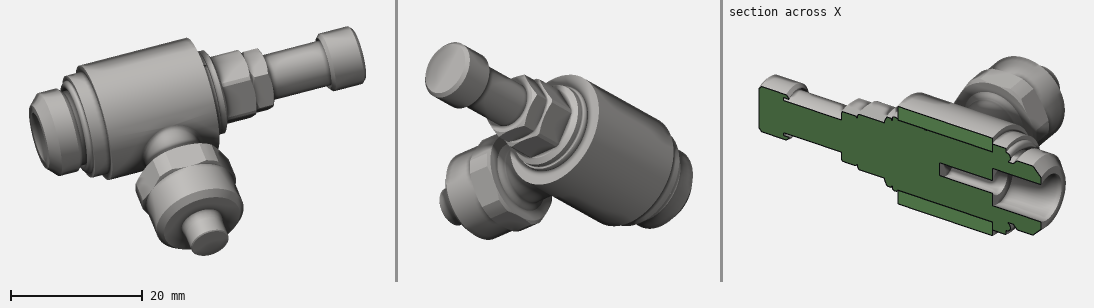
import cadquery as cq
import math


OVERALL_LENGTH = 51
OVERALL_WIDTH = 36.5
RING_DIAMETER = 18.0

RING_RADIUS = RING_DIAMETER / 2
RING_TOP = 7.55
RING_BOTTOM = -9.6
STEM_RADIUS = 6.55

ARM_NECK_RADIUS = 4.5
ARM_NECK_FILLET = 0.5
FLARE_START = 12.55
FLARE_FILLET = 0.4
FLARE_ANGLE = 50
UNION_HEX_START = 13.5
UNION_HEX_END = 17.55
UNION_HEX_APOTHEM = 7.0
UNION_HEX_CORNER_RADIUS = 7.5
UNION_END = 23.45
UNION_CHAMFER = 0.9
TUBE_RADIUS = 3.0
TUBE_SHOULDER_RADIUS = 3.25
TUBE_TAPER_LENGTH = 1.35
ARM_END = OVERALL_WIDTH - RING_RADIUS
TUBE_CHAMFER = 0.15

STEM_BOTTOM = -18.35
END_CHAMFER = 1.55
RELIEF_RADIUS = 5.8
RELIEF_BOTTOM = -13.25
RELIEF_TAPER = STEM_RADIUS - RELIEF_RADIUS
COLLAR_RADIUS = 8.0
COLLAR_BOTTOM = -12.05
SEAL_RADIUS = 7.3
SEAL_WIRE_RADIUS = 0.75
BORE_RADIUS = 3.85
SEAT_RADIUS = 2.25

CLIP_RADIUS = 6.95
CLIP_BULGE = 0.15
CLIP_THICKNESS = 0.95
CLIP_GAP = 0.45
CLIP_CLEARANCE = 0.15
CLIP_GROOVE_RADIUS = 6.2
FLANGE_TOP = 10.0
FLANGE_CHAMFER_HEIGHT = 0.45

STEM_HEX_APOTHEM = 5.0
STEM_HEX_CORNER_RADIUS = 5.6
STEM_HEX_TOP = 14.85
LOCK_NUT_APOTHEM = 4.5
LOCK_NUT_TOP = 17.8
ROD_RADIUS = 3.5
KNOB_RADIUS = 4.55
KNOB_BOTTOM = 27.15
KNOB_TOP = STEM_BOTTOM + OVERALL_LENGTH
KNOB_CHAMFER = 0.5
KNOB_RECESS_RADIUS = 3.9
KNOB_RECESS_DEPTH = 1.0

HEX_CHAMFER_SLOPE = math.tan(math.radians(30))


def turned_y(outline):
    """Revolve a closed (radius, y) outline around the Y axis."""
    return outline.close().revolve(360, (0, 0, 0), (0, 1, 0))


def cylinder_y(radius, bottom, top):
    outline = cq.Workplane("XY").moveTo(0, bottom).lineTo(radius, bottom).lineTo(radius, top).lineTo(0, top)
    return turned_y(outline)


def along_x(body):
    """Turn a body made along +Y so that it runs along +X."""
    return body.rotate((0, 0, 0), (0, 0, 1), -90)


def hexagon_y(apothem, corner_radius, bottom, top, chamfer_bottom):
    """Hexagonal prism along Y, flats facing +Z and -Z, with corners turned to corner_radius."""
    corner_diameter = 2 * apothem / math.cos(math.radians(30))
    prism = cq.Workplane("XZ", origin=(0, bottom, 0)).polygon(6, corner_diameter).extrude(bottom - top)
    chamfer = (corner_radius - apothem) * HEX_CHAMFER_SLOPE
    envelope = cq.Workplane("XY").moveTo(0, bottom)
    if chamfer_bottom:
        envelope = envelope.lineTo(apothem, bottom).lineTo(corner_radius, bottom + chamfer)
    else:
        envelope = envelope.lineTo(corner_radius, bottom)
    envelope = envelope.lineTo(corner_radius, top - chamfer).lineTo(apothem, top).lineTo(0, top)
    return prism.intersect(turned_y(envelope))


def union_nut_and_tube():
    """Flared end of the neck, nut barrel and tube, turned along Y."""
    cone_angle = math.radians(FLARE_ANGLE)
    cone_start = FLARE_START + FLARE_FILLET * math.sin(cone_angle)
    cone_start_radius = ARM_NECK_RADIUS + FLARE_FILLET * (1 - math.cos(cone_angle))
    cone_end_radius = cone_start_radius + (UNION_HEX_START - cone_start) * math.tan(cone_angle)
    fillet_middle = FLARE_START + FLARE_FILLET * math.sin(cone_angle / 2)
    fillet_middle_radius = ARM_NECK_RADIUS + FLARE_FILLET * (1 - math.cos(cone_angle / 2))
    tube_straight = UNION_END + TUBE_TAPER_LENGTH
    turned = turned_y(
        cq.Workplane("XY")
        .moveTo(0, FLARE_START)
        .lineTo(ARM_NECK_RADIUS, FLARE_START)
        .threePointArc((fillet_middle_radius, fillet_middle), (cone_start_radius, cone_start))
        .lineTo(cone_end_radius, UNION_HEX_START)
        .lineTo(UNION_HEX_APOTHEM, UNION_HEX_START)
        .lineTo(UNION_HEX_APOTHEM, UNION_END - UNION_CHAMFER)
        .lineTo(UNION_HEX_APOTHEM - UNION_CHAMFER, UNION_END)
        .lineTo(TUBE_SHOULDER_RADIUS, UNION_END)
        .lineTo(TUBE_RADIUS, tube_straight)
        .lineTo(TUBE_RADIUS, ARM_END - TUBE_CHAMFER)
        .lineTo(TUBE_RADIUS - TUBE_CHAMFER, ARM_END)
        .lineTo(0, ARM_END)
    )
    hexagon = hexagon_y(
        UNION_HEX_APOTHEM, UNION_HEX_CORNER_RADIUS, UNION_HEX_START, UNION_HEX_END, chamfer_bottom=True
    )
    return turned.union(hexagon)


def make_swivel():
    """Ring with its side arm."""
    ring = cylinder_y(RING_RADIUS, RING_BOTTOM, RING_TOP)
    neck = along_x(cylinder_y(ARM_NECK_RADIUS, 0, FLARE_START))
    neck_root = cq.selectors.BoxSelector(
        (0, -ARM_NECK_RADIUS, -ARM_NECK_RADIUS), (RING_RADIUS, ARM_NECK_RADIUS, ARM_NECK_RADIUS)
    )
    swivel = ring.union(neck).edges(neck_root).fillet(ARM_NECK_FILLET)
    swivel = swivel.union(along_x(union_nut_and_tube()))
    return swivel.cut(cylinder_y(STEM_RADIUS, RING_BOTTOM, RING_TOP))


def stem_shank():
    """Turned part of the stem, from the threaded end up to the flange."""
    seal_centre = SEAL_RADIUS - SEAL_WIRE_RADIUS
    seal_inner_drop = math.sqrt(SEAL_WIRE_RADIUS**2 - (seal_centre - RELIEF_RADIUS) ** 2)
    clip_top = RING_TOP + CLIP_THICKNESS
    flange_bottom = clip_top + CLIP_CLEARANCE
    return turned_y(
        cq.Workplane("XY")
        .moveTo(0, STEM_BOTTOM)
        .lineTo(STEM_RADIUS - END_CHAMFER, STEM_BOTTOM)
        .lineTo(STEM_RADIUS, STEM_BOTTOM + END_CHAMFER)
        .lineTo(STEM_RADIUS, RELIEF_BOTTOM - RELIEF_TAPER)
        .lineTo(RELIEF_RADIUS, RELIEF_BOTTOM)
        .lineTo(RELIEF_RADIUS, COLLAR_BOTTOM - seal_inner_drop)
        .threePointArc((seal_centre, COLLAR_BOTTOM - SEAL_WIRE_RADIUS), (SEAL_RADIUS, COLLAR_BOTTOM))
        .lineTo(COLLAR_RADIUS, COLLAR_BOTTOM)
        .lineTo(COLLAR_RADIUS, RING_BOTTOM)
        .lineTo(STEM_RADIUS, RING_BOTTOM)
        .lineTo(STEM_RADIUS, clip_top)
        .lineTo(CLIP_GROOVE_RADIUS, clip_top)
        .lineTo(CLIP_GROOVE_RADIUS, flange_bottom)
        .lineTo(STEM_RADIUS, flange_bottom)
        .lineTo(STEM_RADIUS, FLANGE_TOP - FLANGE_CHAMFER_HEIGHT)
        .lineTo(STEM_HEX_CORNER_RADIUS, FLANGE_TOP)
        .lineTo(0, FLANGE_TOP)
    )


def retaining_clip():
    """Round-edged clip resting on the ring, with a gap facing +Z and a clearance under the flange."""
    clip_top = RING_TOP + CLIP_THICKNESS
    edge_radius = CLIP_RADIUS - CLIP_BULGE
    clip = turned_y(
        cq.Workplane("XY")
        .moveTo(0, RING_TOP)
        .lineTo(edge_radius, RING_TOP)
        .threePointArc((CLIP_RADIUS, RING_TOP + CLIP_THICKNESS / 2), (edge_radius, clip_top))
        .lineTo(0, clip_top)
    )
    gap = (
        cq.Workplane("XY", origin=(0, RING_TOP + CLIP_THICKNESS / 2, STEM_RADIUS))
        .box(CLIP_GAP, CLIP_THICKNESS, 2 * (CLIP_RADIUS - STEM_RADIUS), centered=(True, True, False))
    )
    return clip.cut(gap)


def stem_passage():
    """Wide bore from the threaded end, continued by a narrower seat hole up to the arm axis."""
    return cylinder_y(BORE_RADIUS, STEM_BOTTOM, RING_BOTTOM).union(cylinder_y(SEAT_RADIUS, RING_BOTTOM, 0))


def knob():
    blank = cylinder_y(KNOB_RADIUS, KNOB_BOTTOM, KNOB_TOP).edges("%CIRCLE").chamfer(KNOB_CHAMFER)
    return blank.cut(cylinder_y(KNOB_RECESS_RADIUS, KNOB_BOTTOM, KNOB_BOTTOM + KNOB_RECESS_DEPTH))


def make_stem():
    """Hollow stem with its clip, hexagons, rod and knob."""
    stem_hex = hexagon_y(
        STEM_HEX_APOTHEM, STEM_HEX_CORNER_RADIUS, FLANGE_TOP, STEM_HEX_TOP, chamfer_bottom=False
    )
    lock_nut_corner = LOCK_NUT_APOTHEM / math.cos(math.radians(30))
    lock_nut = hexagon_y(LOCK_NUT_APOTHEM, lock_nut_corner, STEM_HEX_TOP, LOCK_NUT_TOP, chamfer_bottom=True)
    rod = cylinder_y(ROD_RADIUS, LOCK_NUT_TOP, KNOB_BOTTOM + KNOB_RECESS_DEPTH)
    stem = stem_shank().cut(stem_passage())
    for section in (retaining_clip(), stem_hex, lock_nut, knob(), rod):
        stem = stem.union(section)
    return stem


swivel = make_swivel()
stem = make_stem()

result = cq.Compound.makeCompound([swivel.val(), stem.val()])